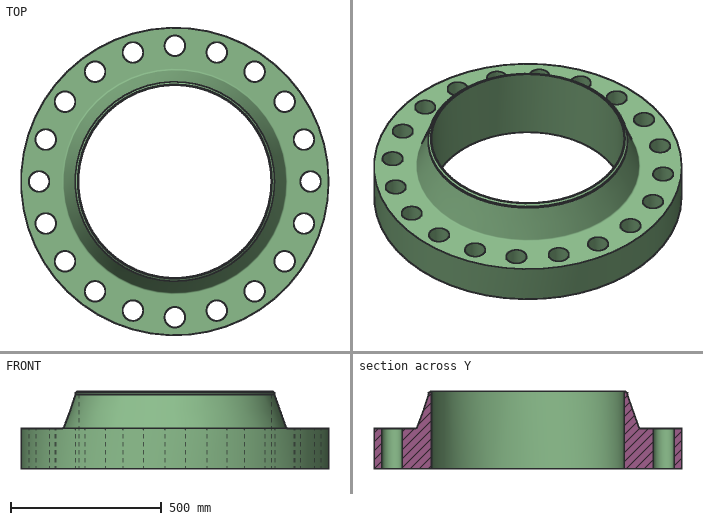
import cadquery as cq

flange_diameter = 1022.0
flange_thickness = 135.0
bolt_circle_diameter = 901.0
bolt_hole_diameter = 67.0
bolt_hole_count = 20

total_height = 259.0
hub_base_diameter = 741.0
neck_diameter = 662.0
neck_land_height = 6.0
weld_bevel_height = 6.0
weld_bevel_width = 8.0
bore_diameter = 640.0
hub_root_fillet = 6.0

flange_radius = flange_diameter / 2
hub_base_radius = hub_base_diameter / 2
neck_radius = neck_diameter / 2
bore_radius = bore_diameter / 2
bevel_start_height = total_height - weld_bevel_height
taper_end_height = bevel_start_height - neck_land_height


def ring_body():
    """Half section of the flange and hub, revolved about the Z axis."""
    section = (
        cq.Workplane("XZ")
        .moveTo(bore_radius, 0)
        .lineTo(flange_radius, 0)
        .lineTo(flange_radius, flange_thickness)
        .lineTo(hub_base_radius, flange_thickness)
        .lineTo(neck_radius, taper_end_height)
        .lineTo(neck_radius, bevel_start_height)
        .lineTo(neck_radius - weld_bevel_width, total_height)
        .lineTo(bore_radius, total_height)
        .close()
    )
    return section.revolve(360, (0, 0, 0), (0, 1, 0))


def round_hub_root(body):
    """Fillet the corner where the hub meets the flange face."""
    reach = hub_base_radius + hub_root_fillet
    margin = hub_root_fillet / 2
    root_edge = cq.selectors.BoxSelector(
        (-reach, -reach, flange_thickness - margin),
        (reach, reach, flange_thickness + margin),
        boundingbox=True,
    )
    return body.edges(root_edge).fillet(hub_root_fillet)


def bolt_holes():
    """Through holes evenly spaced on the bolt circle, the first on the X axis."""
    return (
        cq.Workplane("XY")
        .polarArray(bolt_circle_diameter / 2, 0, 360, bolt_hole_count)
        .circle(bolt_hole_diameter / 2)
        .extrude(flange_thickness)
    )


result = round_hub_root(ring_body()).cut(bolt_holes())